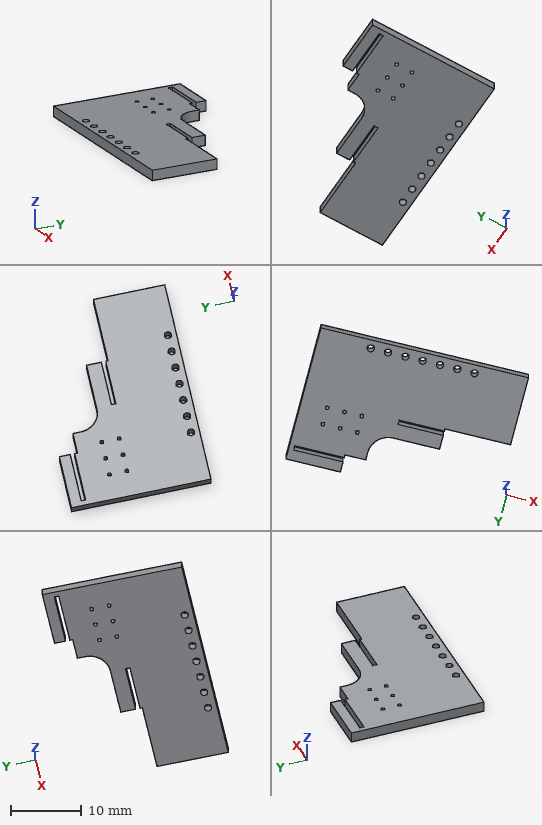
import cadquery as cq

length = 30.48
width = 20.33
thickness = 1.6

upper_finger_end = 8.02
upper_finger_width = 1.6
upper_slot_start = 0.75
slot_width = 0.65

shoulder_end = 11.05
shoulder_y = 17.68
corner_radius = 3.0

middle_finger_end = 20.85
middle_finger_top = 13.53
middle_finger_width = 2.15
middle_slot_start = 14.2
right_edge_top = 10.4

large_hole_diameter = 1.0
large_hole_count = 7
large_hole_row_length = 15.25
large_hole_x = 7.62
large_hole_y = 1.25
small_hole_diameter = 0.52
small_hole_columns = 3
small_hole_rows = 2
small_hole_x = 3.8
small_hole_y = 11.43

hole_pitch = large_hole_row_length / (large_hole_count - 1)
upper_slot_top = width - upper_finger_width
upper_slot_bottom = upper_slot_top - slot_width
middle_slot_top = middle_finger_top - middle_finger_width
middle_slot_bottom = middle_slot_top - slot_width


def make_plate():
    """Stepped plate with two slotted fingers along its upper edge."""
    return (
        cq.Workplane("XY")
        .moveTo(0, 0)
        .lineTo(length, 0)
        .lineTo(length, right_edge_top)
        .lineTo(middle_finger_end, right_edge_top)
        .lineTo(middle_finger_end, middle_slot_bottom)
        .lineTo(middle_slot_start, middle_slot_bottom)
        .lineTo(middle_slot_start, middle_slot_top)
        .lineTo(middle_finger_end, middle_slot_top)
        .lineTo(middle_finger_end, middle_finger_top)
        .lineTo(shoulder_end + corner_radius, middle_finger_top)
        .radiusArc((shoulder_end, middle_finger_top + corner_radius), corner_radius)
        .lineTo(shoulder_end, shoulder_y)
        .lineTo(upper_finger_end, shoulder_y)
        .lineTo(upper_finger_end, upper_slot_bottom)
        .lineTo(upper_slot_start, upper_slot_bottom)
        .lineTo(upper_slot_start, upper_slot_top)
        .lineTo(upper_finger_end, upper_slot_top)
        .lineTo(upper_finger_end, width)
        .lineTo(0, width)
        .close()
        .extrude(thickness)
    )


def hole_grid(first_x, first_y, columns, rows, diameter):
    """Cutters for a grid of through holes, starting at its lower left hole."""
    centers = [
        (first_x + column * hole_pitch, first_y + row * hole_pitch)
        for column in range(columns)
        for row in range(rows)
    ]
    return cq.Workplane("XY").pushPoints(centers).circle(diameter / 2).extrude(thickness)


large_holes = hole_grid(large_hole_x, large_hole_y, large_hole_count, 1, large_hole_diameter)
small_holes = hole_grid(
    small_hole_x, small_hole_y, small_hole_columns, small_hole_rows, small_hole_diameter
)

result = make_plate().cut(large_holes).cut(small_holes)